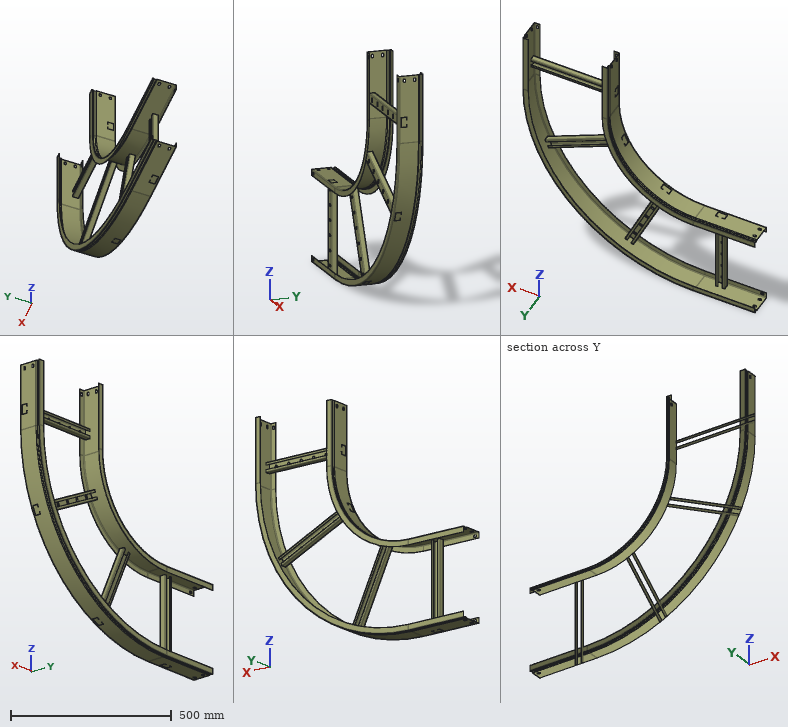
import cadquery as cq
import math


INNER_RADIUS = 300.0
LADDER_WIDTH = 300.0
OUTER_RADIUS = INNER_RADIUS + LADDER_WIDTH
LEG_LENGTH = 217.0

RAIL_DEPTH = 80.0
FLANGE = 20.0
SHEET = 1.2
BEND_RADIUS = 2.5
GROOVE_DEPTH = 3.0
GROOVE_FLOOR = 6.0
GROOVE_CENTER = RAIL_DEPTH - 9.0

END_SLOT_LENGTH = 11.0
END_SLOT_WIDTH = 7.0
END_SLOT_INSET = 15.0
WEB_SLOT_DEPTHS = (18.0, 52.0)
FLANGE_SLOT_OFFSET = 11.0

RUNG_WIDTH = 33.0
RUNG_DEPTH = 20.0
RUNG_FRONT = 7.0
RUNG_LIP = 9.0
RUNG_BEND_RADIUS = 2.0
LEG_RUNG_INSET = 150.0
LEG_RUNG_OFFSET = LEG_LENGTH - LEG_RUNG_INSET
BEND_RUNG_ANGLE = 25.0
RUNG_SLOT_COUNT = 6
RUNG_SLOT_PITCH = 49.0
RUNG_SLOT_LENGTH = 14.0
RUNG_SLOT_WIDTH = 7.5

CUT_MARGIN = 5.0


def quarter_turn_path(radius):
    """Leg along X, quarter turn about the origin, leg along Z."""
    mid = radius * math.sqrt(0.5)
    return (
        cq.Workplane("XZ")
        .moveTo(-LEG_LENGTH, -radius)
        .lineTo(0, -radius)
        .threePointArc((mid, -mid), (radius, 0))
        .lineTo(radius, LEG_LENGTH)
    )


def section_plane(radius, inward):
    """Plane across the leg's end: local x is Y, local y runs from the web face into the channel."""
    return cq.Plane(origin=(-LEG_LENGTH, 0, -radius), xDir=(0, 1, 0), normal=(inward, 0, 0))


def rail_blank(radius, inward):
    """Channel with a groove pressed into its web; inward is +1 when it opens to the bend centre."""
    back = RAIL_DEPTH
    inner_radius = BEND_RADIUS - SHEET
    ridge_spread = SHEET * math.tan(math.pi / 8)
    floor_half = GROOVE_FLOOR / 2
    groove_half = floor_half + GROOVE_DEPTH
    ridge = SHEET + GROOVE_DEPTH
    section = (
        cq.Workplane(section_plane(radius, inward))
        .moveTo(0, FLANGE)
        .lineTo(0, BEND_RADIUS)
        .tangentArcPoint((BEND_RADIUS, 0), relative=False)
        .lineTo(GROOVE_CENTER - groove_half, 0)
        .lineTo(GROOVE_CENTER - floor_half, GROOVE_DEPTH)
        .lineTo(GROOVE_CENTER + floor_half, GROOVE_DEPTH)
        .lineTo(GROOVE_CENTER + groove_half, 0)
        .lineTo(back - BEND_RADIUS, 0)
        .tangentArcPoint((back, BEND_RADIUS), relative=False)
        .lineTo(back, FLANGE)
        .lineTo(back - SHEET, FLANGE)
        .lineTo(back - SHEET, BEND_RADIUS)
        .tangentArcPoint((back - SHEET - inner_radius, SHEET), relative=False)
        .lineTo(GROOVE_CENTER + groove_half + ridge_spread, SHEET)
        .lineTo(GROOVE_CENTER + floor_half + ridge_spread, ridge)
        .lineTo(GROOVE_CENTER - floor_half - ridge_spread, ridge)
        .lineTo(GROOVE_CENTER - groove_half - ridge_spread, SHEET)
        .lineTo(BEND_RADIUS, SHEET)
        .tangentArcPoint((SHEET, BEND_RADIUS), relative=False)
        .lineTo(SHEET, FLANGE)
        .close()
    )
    return section.sweep(quarter_turn_path(radius), clean=False)


def end_slots(radius, inward):
    """Cutters for the web and front-flange slots at both ends of a rail."""
    slot_x = END_SLOT_INSET - LEG_LENGTH
    web_slots = (
        cq.Workplane("XY", origin=(slot_x, 0, -radius))
        .pushPoints([(0, depth) for depth in WEB_SLOT_DEPTHS])
        .slot2D(END_SLOT_LENGTH, END_SLOT_WIDTH)
        .extrude(SHEET + CUT_MARGIN, both=True)
    )
    flange_slot = (
        cq.Workplane("XZ", origin=(slot_x, 0, inward * FLANGE_SLOT_OFFSET - radius))
        .slot2D(END_SLOT_LENGTH, END_SLOT_WIDTH)
        .extrude(SHEET + CUT_MARGIN, both=True)
    )
    first_end = web_slots.add(flange_slot).combine()
    second_end = first_end.mirror("XY").rotate((0, 0, 0), (0, 1, 0), 90)
    return first_end.add(second_end).combine()


def rung_blank():
    """Lipped channel along +X, open to the back, a little longer than the ladder is wide."""
    length = LADDER_WIDTH + 2 * CUT_MARGIN
    mid_radius = INNER_RADIUS + LADDER_WIDTH / 2
    mid_depth = RUNG_FRONT + RUNG_DEPTH / 2
    hollow_width = RUNG_WIDTH - 2 * SHEET
    opening_width = RUNG_WIDTH - 2 * RUNG_LIP
    channel = (
        cq.Workplane("XY", origin=(mid_radius, mid_depth, 0))
        .box(length, RUNG_DEPTH, RUNG_WIDTH)
        .edges("|X")
        .fillet(RUNG_BEND_RADIUS)
    )
    hollow = (
        cq.Workplane("XY", origin=(mid_radius, mid_depth, 0))
        .box(length, RUNG_DEPTH - 2 * SHEET, hollow_width)
        .edges("|X")
        .fillet(RUNG_BEND_RADIUS - SHEET)
    )
    opening = cq.Workplane("XY", origin=(mid_radius, mid_depth + RUNG_DEPTH / 2, 0)).box(
        length, RUNG_DEPTH, opening_width
    )
    slots = (
        cq.Workplane("XZ", origin=(mid_radius, RUNG_FRONT, 0))
        .rarray(RUNG_SLOT_PITCH, 1, RUNG_SLOT_COUNT, 1)
        .slot2D(RUNG_SLOT_LENGTH, RUNG_SLOT_WIDTH, 90)
        .extrude(SHEET + CUT_MARGIN, both=True)
    )
    return channel.cut(hollow).cut(opening).cut(slots)


def space_between_rails():
    """Everything between the inside faces of the two webs."""
    section = (
        cq.Workplane(section_plane(OUTER_RADIUS, 1))
        .center(0, SHEET)
        .rect(RAIL_DEPTH, LADDER_WIDTH - 2 * SHEET, centered=False)
    )
    return section.sweep(quarter_turn_path(OUTER_RADIUS))


def build_rungs():
    """Rungs butting against the inside of the webs: one on each leg and two in the bend."""
    placements = [
        (0, (0, 0, LEG_RUNG_OFFSET)),
        (BEND_RUNG_ANGLE, (0, 0, 0)),
        (90 - BEND_RUNG_ANGLE, (0, 0, 0)),
        (90, (-LEG_RUNG_OFFSET, 0, 0)),
    ]
    blank = rung_blank()
    gap = space_between_rails()
    placed = [blank.rotate((0, 0, 0), (0, 1, 0), angle).translate(shift) for angle, shift in placements]
    return [rung.intersect(gap) for rung in placed]


def build_rail(radius, inward):
    """Rail with its end slots; unmerged faces keep the seams where the legs meet the bend."""
    return rail_blank(radius, inward).cut(end_slots(radius, inward), clean=False)


rungs = build_rungs()
inner_rail = build_rail(INNER_RADIUS, -1)
outer_rail = build_rail(OUTER_RADIUS, 1)

result = cq.Compound.makeCompound([inner_rail.val(), outer_rail.val(), *[rung.val() for rung in rungs]])